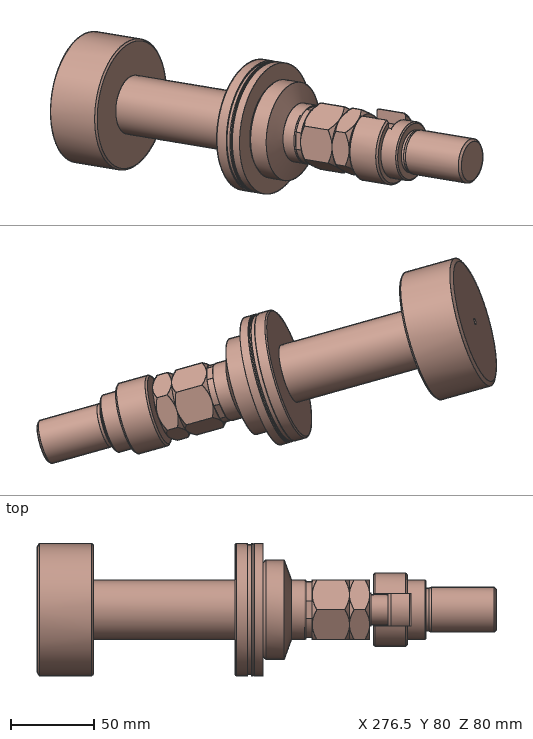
import cadquery as cq
import math


PISTON_R = 80.0 / 2
PISTON_LENGTH = 34.0
FACE_CHAMFER_LENGTH = 1.5
FACE_CHAMFER_DEPTH = 2.5
REAR_CHAMFER = 1.0
ROD_R = 18.0

CENTRE_CONE_R = 2.0
CENTRE_CONE_DEPTH = 1.0
CENTRE_PILOT_R = 0.8
CENTRE_PILOT_DEPTH = 2.8

FLANGE_START = 119.2
FLANGE_END = 136.0
FLANGE_CHAMFER = 0.8
WIDE_GROOVE_START = 126.5
WIDE_GROOVE_END = 129.0
WIDE_GROOVE_DEPTH = 0.8
NARROW_GROOVE_START = 130.0
NARROW_GROOVE_END = 130.8
NARROW_GROOVE_DEPTH = 0.3

HUB_R = 60.0 / 2
HUB_CHAMFER = 1.7
HUB_END = 148.8
HUB_CONE_ANGLE = 70
HUB_CONE_END = HUB_END + (HUB_R - ROD_R) / math.tan(math.radians(HUB_CONE_ANGLE))

NECK_CHAMFER_START = 161.0
NECK_START = NECK_CHAMFER_START + 0.8
NECK_R = 17.7
FLAT_DISTANCE = 17.0

HEX_FLAT_DISTANCE = 18.0
HEX_CORNER_R = HEX_FLAT_DISTANCE / math.cos(math.radians(30))
NUT_START = 165.5
NUT_END = 188.0
ROD_THREAD_R = 12.0

STUD_HEX_END = 200.2
STUD_COLLAR_R = 10.0
STUD_COLLAR_END = STUD_HEX_END + 0.8
SHANK_R = 9.0
HEAD_R = 14.5
HEAD_START = 211.2
HEAD_END = 224.2
HEAD_CHAMFER = 1.7

COLLAR_R = 22.0
COLLAR_START = 202.5
COLLAR_END = 222.9
COLLAR_CHAMFER = 1.0
SHOULDER_R = 18.0
SHOULDER_END = 234.2
SHOULDER_CHAMFER = 0.8
UNDERCUT_R = 13.0
UNDERCUT_END = 235.9
SCREW_R = 13.5
SCREW_START = 237.5
SCREW_END = 276.5
SCREW_CHAMFER = 1.5
SLOT_HALF_WIDTH = 9.7
SLOT_END = 225.0
HEAD_CLEARANCE = 0.5


def turned(profile):
    """Solid of revolution about X; the profile lists (x, radius) from end to end."""
    points = [(profile[0][0], 0)] + profile + [(profile[-1][0], 0)]
    return cq.Workplane("XY").polyline(points).close().revolve(360, (0, 0, 0), (1, 0, 0))


def cylinder(start, end, radius):
    return turned([(start, radius), (end, radius)])


def rim_ring(start, end, depth):
    """Ring that cuts a square groove into the flange rim."""
    return cylinder(start, end, PISTON_R).cut(cylinder(start, end, PISTON_R - depth))


def chamfered_hex(start, end):
    """Hexagonal bar with corners at +Z and -Z and both ends turned to 45 degree cones."""
    corner_chamfer = HEX_CORNER_R - HEX_FLAT_DISTANCE
    bar = (
        cq.Workplane("YZ", origin=(start, 0, 0))
        .transformed(rotate=(0, 0, 90))
        .polygon(6, 2 * HEX_CORNER_R)
        .extrude(end - start)
    )
    envelope = turned([
        (start, HEX_FLAT_DISTANCE),
        (start + corner_chamfer, HEX_CORNER_R),
        (end - corner_chamfer, HEX_CORNER_R),
        (end, HEX_FLAT_DISTANCE),
    ])
    return bar.intersect(envelope)


def make_piston():
    piston = turned([
        (0, PISTON_R - FACE_CHAMFER_DEPTH),
        (FACE_CHAMFER_LENGTH, PISTON_R),
        (PISTON_LENGTH - REAR_CHAMFER, PISTON_R),
        (PISTON_LENGTH, PISTON_R - REAR_CHAMFER),
    ])
    centre_drilling = turned([
        (0, CENTRE_CONE_R),
        (CENTRE_CONE_DEPTH, CENTRE_PILOT_R),
        (CENTRE_PILOT_DEPTH, CENTRE_PILOT_R),
    ])
    return piston.cut(centre_drilling)


def make_flange():
    flange = turned([
        (FLANGE_START, PISTON_R - FLANGE_CHAMFER),
        (FLANGE_START + FLANGE_CHAMFER, PISTON_R),
        (FLANGE_END, PISTON_R),
    ])
    wide_groove = rim_ring(WIDE_GROOVE_START, WIDE_GROOVE_END, WIDE_GROOVE_DEPTH)
    narrow_groove = rim_ring(NARROW_GROOVE_START, NARROW_GROOVE_END, NARROW_GROOVE_DEPTH)
    return flange.cut(wide_groove).cut(narrow_groove)


def make_neck():
    """Round neck cut to a square with rounded corners."""
    square = (
        cq.Workplane("YZ", origin=(NECK_START, 0, 0))
        .rect(2 * FLAT_DISTANCE, 2 * FLAT_DISTANCE)
        .extrude(NUT_START - NECK_START)
    )
    return square.intersect(cylinder(NECK_START, NUT_START, NECK_R))


def make_piston_rod():
    rod = turned([
        (PISTON_LENGTH, ROD_R),
        (NECK_CHAMFER_START, ROD_R),
        (NECK_START, NECK_R),
    ])
    hub = turned([
        (FLANGE_END, HUB_R - HUB_CHAMFER),
        (FLANGE_END + HUB_CHAMFER, HUB_R),
        (HUB_END, HUB_R),
        (HUB_CONE_END, ROD_R),
    ])
    rod_thread = cylinder(NUT_START, NUT_END, ROD_THREAD_R)
    body = make_piston().union(rod).union(make_flange()).union(hub)
    return body.union(make_neck()).union(rod_thread)


def make_lock_nut():
    return chamfered_hex(NUT_START, NUT_END).cut(cylinder(NUT_START, NUT_END, ROD_THREAD_R))


def make_stud():
    shank_and_head = turned([
        (STUD_HEX_END, STUD_COLLAR_R),
        (STUD_COLLAR_END, STUD_COLLAR_R),
        (STUD_COLLAR_END, SHANK_R),
        (HEAD_START, SHANK_R),
        (HEAD_START, HEAD_R - HEAD_CHAMFER),
        (HEAD_START + HEAD_CHAMFER, HEAD_R),
        (HEAD_END, HEAD_R),
    ])
    return chamfered_hex(NUT_END, STUD_HEX_END).union(shank_and_head)


def make_coupling():
    body = turned([
        (COLLAR_START, COLLAR_R - COLLAR_CHAMFER),
        (COLLAR_START + COLLAR_CHAMFER, COLLAR_R),
        (COLLAR_END - COLLAR_CHAMFER, COLLAR_R),
        (COLLAR_END, COLLAR_R - COLLAR_CHAMFER),
        (COLLAR_END, SHOULDER_R),
        (SHOULDER_END - SHOULDER_CHAMFER, SHOULDER_R),
        (SHOULDER_END, SHOULDER_R - SHOULDER_CHAMFER),
        (SHOULDER_END, UNDERCUT_R),
        (UNDERCUT_END, UNDERCUT_R),
        (SCREW_START, SCREW_R),
        (SCREW_END - SCREW_CHAMFER, SCREW_R),
        (SCREW_END, SCREW_R - SCREW_CHAMFER),
    ])
    slot = (
        cq.Workplane("XY", origin=(COLLAR_START, 0, 0))
        .box(SLOT_END - COLLAR_START, 2 * SLOT_HALF_WIDTH, COLLAR_R, centered=(False, True, False))
    )
    slot_floor = cylinder(COLLAR_START, SLOT_END, SLOT_HALF_WIDTH)
    head_chamber = cylinder(HEAD_START - HEAD_CLEARANCE, SLOT_END, HEAD_R + HEAD_CLEARANCE)
    return body.cut(slot).cut(slot_floor).cut(head_chamber)


piston_rod = make_piston_rod()
lock_nut = make_lock_nut()
stud = make_stud()
coupling = make_coupling()

result = cq.Compound.makeCompound([
    piston_rod.solids().val(),
    lock_nut.solids().val(),
    stud.solids().val(),
    coupling.solids().val(),
])